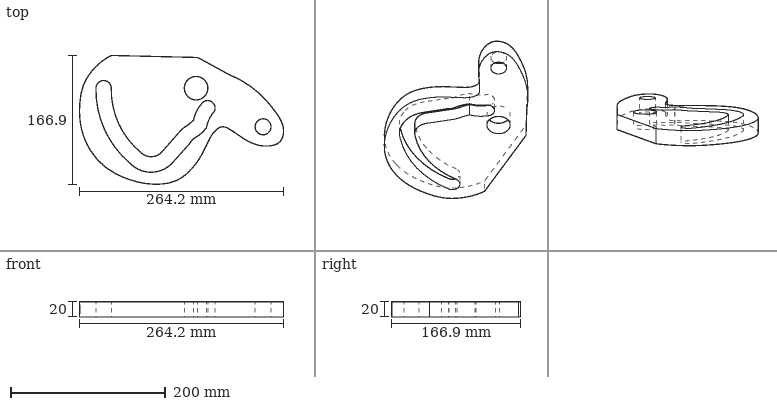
import cadquery as cq

thickness = 20.0
pivot_diameter = 30.0
arm_hole_diameter = 20.3
arm_hole_center = (86.5, -50.0)

top_left = (-109.5, 42.5)
top_right = (2.0, 40.0)
arm_shoulder = (41.2, 18.5)

arm_and_lobe_points = [
    (60.7, 8.7),
    (82.5, -7.5),
    (99.8, -26.7),
    (110.0, -42.5),
    (113.3, -56.0),
    (108.3, -69.5),
    (92.1, -75.0),
    (72.0, -71.0),
    (55.2, -61.3),
    (41.7, -52.3),
    (34.3, -50.0),
    (27.7, -52.5),
    (18.0, -64.7),
    (8.5, -84.0),
    (-4.5, -103.0),
    (-23.5, -118.5),
    (-50.7, -124.4),
    (-85.5, -118.5),
    (-116.5, -102.7),
    (-138.5, -77.4),
    (-149.2, -48.8),
    (-150.8, -23.8),
    (-145.2, 5.3),
    (-133.3, 24.0),
]

slot_end_radius = 9.8
slot_left_center = (-119.5, 0.0)
slot_left_inner = (slot_left_center[0] + slot_end_radius, slot_left_center[1])
slot_left_outer = (slot_left_center[0] - slot_end_radius, slot_left_center[1])
slot_left_tip = (slot_left_center[0], slot_left_center[1] + slot_end_radius)
slot_right_inner = (6.9, -20.5)
slot_right_tip = (18.0, -16.6)
slot_right_outer = (23.2, -30.0)

inner_curve_middle = (-99.3, -48.0)
inner_bend_start = (-71.5, -83.2)
inner_bend_bottom = (-57.3, -88.7)
inner_bend_end = (-44.0, -82.5)
inner_leg_top = (-22.7, -58.0)
inner_kink_middle = (-17.2, -52.3)
inner_kink_end = (-10.5, -47.8)
inner_corner = (-3.2, -41.5)
inner_tip_curve = (0.5, -30.0)

outer_tip_curve = (16.5, -41.0)
outer_corner = (13.2, -51.0)
outer_corner_curve = (6.9, -58.0)
outer_kink_start = (-0.8, -63.6)
outer_kink_middle = (-4.8, -66.5)
outer_leg_top = (-8.2, -71.3)
outer_bend_start = (-30.4, -96.0)
outer_bend_bottom = (-57.3, -108.5)
outer_bend_end = (-85.5, -97.0)
outer_curve_middle = (-117.5, -55.2)


def make_plate():
    return (
        cq.Workplane("XY")
        .moveTo(*top_left)
        .lineTo(*top_right)
        .lineTo(*arm_shoulder)
        .spline(arm_and_lobe_points + [top_left], includeCurrent=True)
        .close()
        .extrude(thickness)
    )


def make_slot():
    """Curved slot with round ends and a kinked right leg."""
    return (
        cq.Workplane("XY")
        .moveTo(*slot_left_outer)
        .threePointArc(slot_left_tip, slot_left_inner)
        .threePointArc(inner_curve_middle, inner_bend_start)
        .threePointArc(inner_bend_bottom, inner_bend_end)
        .lineTo(*inner_leg_top)
        .threePointArc(inner_kink_middle, inner_kink_end)
        .lineTo(*inner_corner)
        .threePointArc(inner_tip_curve, slot_right_inner)
        .threePointArc(slot_right_tip, slot_right_outer)
        .threePointArc(outer_tip_curve, outer_corner)
        .threePointArc(outer_corner_curve, outer_kink_start)
        .threePointArc(outer_kink_middle, outer_leg_top)
        .lineTo(*outer_bend_start)
        .threePointArc(outer_bend_bottom, outer_bend_end)
        .threePointArc(outer_curve_middle, slot_left_outer)
        .close()
        .extrude(thickness)
    )


def make_hole(center, diameter):
    return cq.Workplane("XY").center(*center).circle(diameter / 2).extrude(thickness)


pivot_hole = make_hole((0, 0), pivot_diameter)
arm_hole = make_hole(arm_hole_center, arm_hole_diameter)
result = make_plate().cut(make_slot()).cut(pivot_hole).cut(arm_hole)